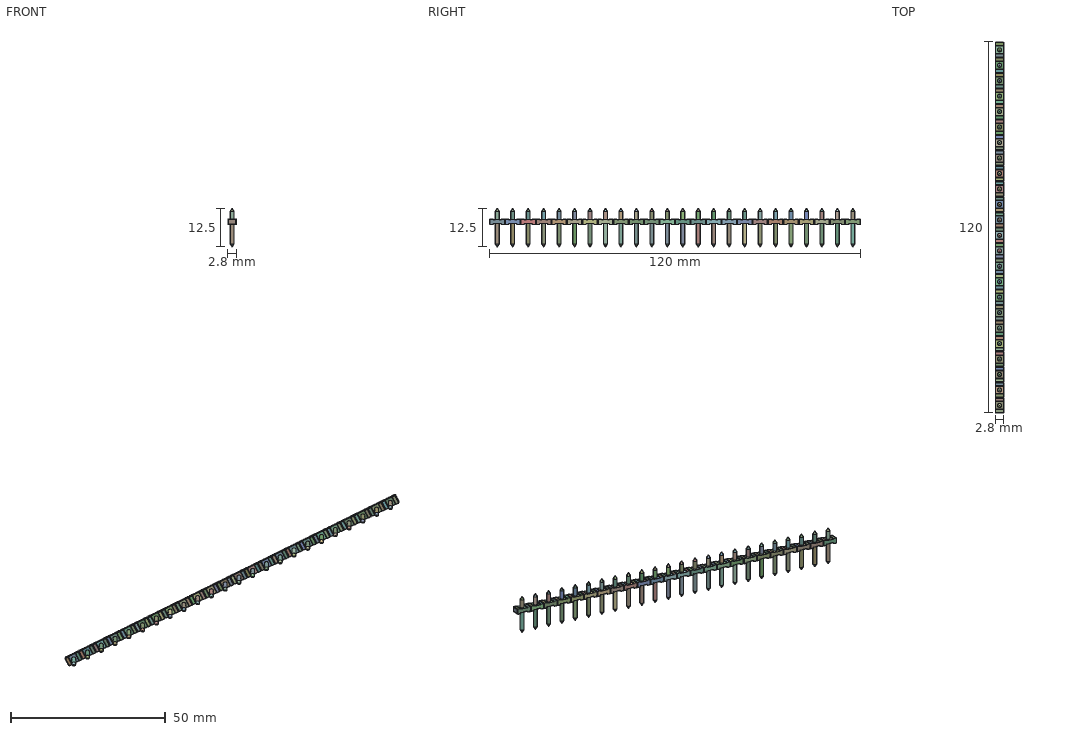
import cadquery as cq

strip_length = 120.0
pin_count = 24
pitch = strip_length / pin_count

strip_width = 2.8
strip_top = 2.8
foot_bottom = 1.0
top_recess_depth = 0.2
bottom_recess_depth = 0.4
recess_floor = 2.4
recess_mouth = 2.8

groove_half_width = 0.19
groove_depth = 0.19

pin_height = 12.5
pin_radius = 0.66
tip_radius = 0.01
tip_length = 1.0

cell_centres = [(i - (pin_count - 1) / 2) * pitch for i in range(pin_count)]
cell_borders = [(i - pin_count / 2) * pitch for i in range(pin_count + 1)]


def make_strip():
    """Side outline of the strip, recessed above and below around each pin, extruded across X."""
    recess_steps = (
        (-recess_mouth / 2, 0),
        (-recess_floor / 2, 1),
        (recess_floor / 2, 1),
        (recess_mouth / 2, 0),
    )
    top = [(-strip_length / 2, strip_top)]
    bottom = [(-strip_length / 2, foot_bottom)]
    for y in cell_centres:
        for offset, depth_share in recess_steps:
            top.append((y + offset, strip_top - depth_share * top_recess_depth))
            bottom.append((y + offset, foot_bottom + depth_share * bottom_recess_depth))
    top.append((strip_length / 2, strip_top))
    bottom.append((strip_length / 2, foot_bottom))
    outline = top + bottom[::-1]
    return cq.Workplane("YZ").polyline(outline).close().extrude(strip_width / 2, both=True)


def make_groove(y, edge, depth_direction, plane):
    """Triangular prism for one straight run of a V-groove, its mouth lying on the given edge."""
    corners = [
        (y - groove_half_width, edge),
        (y + groove_half_width, edge),
        (y, edge + depth_direction * groove_depth),
    ]
    return cq.Workplane(plane).polyline(corners).close().extrude(pin_height, both=True).val()


def make_border_grooves():
    """V-grooves running around all four sides of the strip at every cell border."""
    sideways = cq.Plane(origin=(0, 0, 0), xDir=(0, 1, 0), normal=(0, 0, -1))
    grooves = []
    for y in cell_borders:
        grooves.append(make_groove(y, strip_top, -1, "YZ"))
        grooves.append(make_groove(y, foot_bottom, 1, "YZ"))
        grooves.append(make_groove(y, strip_width / 2, -1, sideways))
        grooves.append(make_groove(y, -strip_width / 2, 1, sideways))
    return grooves


def make_pin():
    """Round pin with a tapered tip at both ends, centred on the Z axis."""
    half = pin_height / 2
    shoulder = half - tip_length
    outline = [
        (0, -half),
        (tip_radius, -half),
        (pin_radius, -shoulder),
        (pin_radius, shoulder),
        (tip_radius, half),
        (0, half),
    ]
    return cq.Workplane("XZ").polyline(outline).close().revolve(360, (0, 0, 0), (0, 1, 0)).val()


strip = make_strip().val().cut(*make_border_grooves())
pin = make_pin()
pins = [pin.moved(cq.Location(cq.Vector(0, y, 0))) for y in cell_centres]
result = cq.Workplane(strip.fuse(*pins))